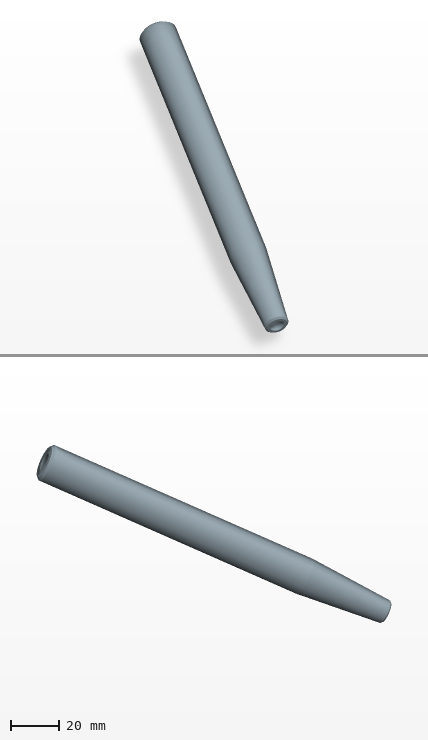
import cadquery as cq

length = 160.0
shank_diameter = 16.0
taper_length = 38.4
nose_diameter = 10.2
shank_chamfer = 1.1
nose_chamfer = 0.8

bore_diameter = 6.0
counterbore_diameter = 7.0
counterbore_depth = 16.0
mouth_diameter = 7.7
mouth_chamfer = (mouth_diameter - counterbore_diameter) / 2

shank_radius = shank_diameter / 2
nose_radius = nose_diameter / 2
bore_radius = bore_diameter / 2
counterbore_radius = counterbore_diameter / 2
taper_start = length - taper_length


def make_body():
    """Revolve the shank and the tapered nose about X."""
    profile = (
        cq.Workplane("XY")
        .moveTo(0, 0)
        .lineTo(0, shank_radius - shank_chamfer)
        .lineTo(shank_chamfer, shank_radius)
        .lineTo(taper_start, shank_radius)
        .lineTo(length - nose_chamfer, nose_radius)
        .lineTo(length, nose_radius - nose_chamfer)
        .lineTo(length, 0)
        .close()
    )
    return profile.revolve(360, (0, 0, 0), (1, 0, 0))


def make_bore():
    """Revolve the through bore and its chamfered counterbore about X."""
    profile = (
        cq.Workplane("XY")
        .moveTo(0, 0)
        .lineTo(0, mouth_diameter / 2)
        .lineTo(mouth_chamfer, counterbore_radius)
        .lineTo(counterbore_depth, counterbore_radius)
        .lineTo(counterbore_depth, bore_radius)
        .lineTo(length, bore_radius)
        .lineTo(length, 0)
        .close()
    )
    return profile.revolve(360, (0, 0, 0), (1, 0, 0))


result = make_body().cut(make_bore())